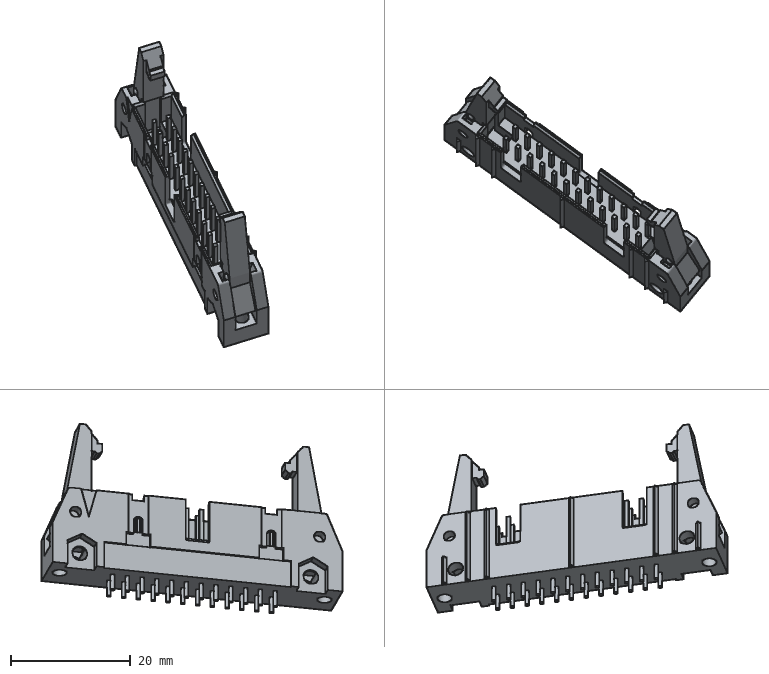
import cadquery as cq
import math

PITCH = 2.54
PIN_COLUMNS = 12

LENGTH = 49.78
DEPTH = 8.0
HEIGHT = 13.95
END_SLOPE_RUN = 2.72
END_EDGE_RADIUS = 0.48
FLOOR_Z = 7.35
END_SLOPE_BASE = FLOOR_Z
CAVITY_LENGTH = 35.48
CAVITY_DEPTH = 6.46
RIM_CHAMFER_RUN = 0.45
RIM_CHAMFER_DROP = 0.32

KEY_BOTTOM_Z = 6.45
FRONT_KEY_WIDTH = 4.05
FRONT_KEY_RADIUS = 0.25
FRONT_KEY_DEPTH = 1.2
BACK_KEY_WIDTH = 4.2
BACK_KEY_RADIUS = 0.45
BACK_KEY_DEPTH = 1.05
BACK_KEY_X = 10.86

CLIP_CENTERS_X = (-4 * PITCH, 5 * PITCH)
CLIP_GROOVE_WIDTH = 3.46
CLIP_GROOVE_DEPTH = 0.15
CLIP_POCKET_WIDTH = 4.2
CLIP_POCKET_TOP = 6.9
CLIP_SLOT_WIDTH = 1.55
CLIP_SLOT_TOP = 9.93
CLIP_NOTCH_WIDTH = 2.05
CLIP_NOTCH_BOTTOM = 12.9

FRONT_RECESS_LENGTH = 32.08
FRONT_RECESS_HEIGHT = 4.65
FRONT_RECESS_DEPTH = 0.35

MARK_LEFT = 4.9
MARK_WIDTH = 2.62
MARK_TIP_Z = 9.0
MARK_DEPTH = 0.25

MOUNT_FROM_END = 5.03
MOUNT_Z = 2.85
MOUNT_DIAMETER = 2.54
NUT_FLATS = 4.97
NUT_DEPTH = 1.65

SLOT_WIDTH = 3.8
SLOT_FLOOR_Z = 3.75
OPENING_WIDTH = 2.9
PIT_FLOOR_END = 9.45
PIT_TOP_END = 10.3
DRAIN_FROM_END = 2.15
DRAIN_DIAMETER = 2.4
RELIEF_START = 4.85
RELIEF_END = 6.4
RELIEF_WIDTH = 4.3
RELIEF_BOTTOM = 11.5

LEVER_WIDTH = 3.62
LEVER_TOP = 26.87
LEVER_INNER = 7.2
TIP_START = 5.2
TIP_END = 6.2
BEVEL_SLOPE = 1.17
ARM_OUTER = 2.95
ARM_TAPER_BOTTOM = 14.25
ARM_STEP_Z = 14.35
ARM_STEP_DROP = 0.15
SHANK_INNER = 6.3
PRESS_TOP = 11.5
PRESS_TIP_X = 0.4
PRESS_TIP_Z = 6.8
FOOT_BOTTOM = 5.0
FOOT_START = 2.5
FOOT_ARC_MIDDLE = (2.3, 5.4)
FOOT_ARC_TOP = (1.9, 5.75)
HOOK_WIDTH = 2.5
HOOK_SHOULDER = 8.35
HOOK_NOSE = 9.2
HOOK_NOSE_TOP = 23.85
HOOK_NOSE_BOTTOM = 22.5
HOOK_ROOT_Z = 22.35
HOOK_BARB_Z = 22.0
HOOK_BARB_START = 8.2
HOOK_BARB_END = 8.6
HOOK_ROOT_END = 7.9
PIVOT_FROM_END = 3.93
PIVOT_Z = 9.6
PIVOT_DIAMETER = 1.9
DETENT_FROM_END = 4.0
DETENT_Z = 13.4
DETENT_RADIUS = 0.77
DETENT_HEIGHT = 0.45
PIVOT_SPAN = 4.6
RAMP_TOP_SPAN = 6.14
RAMP_BOTTOM_SPAN = PIVOT_SPAN
RAMP_START = 3.1
RAMP_END = 4.9
RAMP_BOTTOM_Z = 11.5

PIN_SIZE = 0.64
PIN_TOP = 13.5
TAIL_DIAMETER = 0.67
TAIL_LENGTH = 2.72

RIB_HEIGHT = 0.53
RIB_HALF_WIDTH = 0.42
RIB_BOTTOM = 0.25
RIB_TOP = 13.75
SHORT_RIB_TOP = 5.4
LONG_RIB_OFFSETS = (0, 14.5, 17.8)
SHORT_RIB_OFFSET = 21.85

HALF_LENGTH = LENGTH / 2
FRONT_Y = -DEPTH / 2
BACK_Y = DEPTH / 2
ABOVE = HEIGHT + 1


def block(x_min, x_max, y_min, y_max, z_min, z_max):
    """Axis-aligned box given by its limits."""
    size = (x_max - x_min, y_max - y_min, z_max - z_min)
    return cq.Workplane("XY").box(*size, centered=False).translate((x_min, y_min, z_min))


def extrude_y(points, y_min, y_max):
    """Closed X-Z polygon extruded from y_min to y_max."""
    return cq.Workplane("XZ", origin=(0, y_max, 0)).polyline(points).close().extrude(y_max - y_min)


def cylinder_y(x, z, diameter, y_min, y_max):
    """Cylinder along Y."""
    return cq.Workplane("XZ", origin=(x, y_max, z)).circle(diameter / 2).extrude(y_max - y_min)


def both_ends(shape):
    """The shape with its mirror image at the other end of the part."""
    return shape.union(shape.mirror("YZ"))


def from_left(distance):
    """X at a distance from the left end of the housing."""
    return distance - HALF_LENGTH


def housing_body():
    shoulder = HALF_LENGTH - END_SLOPE_RUN
    outline = [
        (-HALF_LENGTH, 0),
        (HALF_LENGTH, 0),
        (HALF_LENGTH, END_SLOPE_BASE),
        (shoulder, HEIGHT),
        (-shoulder, HEIGHT),
        (-HALF_LENGTH, END_SLOPE_BASE),
    ]
    body = extrude_y(outline, FRONT_Y, BACK_Y)
    return body.faces(">Z").edges("|Y").fillet(END_EDGE_RADIUS)


def cavity():
    well = (
        cq.Workplane("XY", origin=(0, 0, FLOOR_Z))
        .rect(CAVITY_LENGTH, CAVITY_DEPTH)
        .extrude(HEIGHT - FLOOR_Z)
    )
    rim = (
        cq.Workplane("XY", origin=(0, 0, HEIGHT - RIM_CHAMFER_DROP))
        .rect(CAVITY_LENGTH, CAVITY_DEPTH)
        .workplane(offset=RIM_CHAMFER_DROP)
        .rect(CAVITY_LENGTH + 2 * RIM_CHAMFER_RUN, CAVITY_DEPTH + 2 * RIM_CHAMFER_RUN)
        .loft(ruled=True)
    )
    return well.union(rim)


def key_notch(x, width, radius, y_min, y_max):
    """Notch open at the top, with rounded lower corners."""
    notch = block(x - width / 2, x + width / 2, y_min, y_max, KEY_BOTTOM_Z, ABOVE)
    return notch.faces("<Z").edges("|Y").fillet(radius)


def key_notches():
    """One notch at the middle of the front wall and two in the back wall."""
    notches = key_notch(0, FRONT_KEY_WIDTH, FRONT_KEY_RADIUS, FRONT_Y, FRONT_Y + FRONT_KEY_DEPTH)
    back_start = BACK_Y - BACK_KEY_DEPTH
    for x in (-BACK_KEY_X, BACK_KEY_X):
        notches = notches.union(key_notch(x, BACK_KEY_WIDTH, BACK_KEY_RADIUS, back_start, BACK_Y))
    return notches


def clip_seat(x):
    wall_inside = -CAVITY_DEPTH / 2

    def cut(width, depth, z_min, z_max):
        return block(x - width / 2, x + width / 2, FRONT_Y, FRONT_Y + depth, z_min, z_max)

    wall = wall_inside - FRONT_Y
    slot_arc_z = CLIP_SLOT_TOP - CLIP_SLOT_WIDTH / 2
    seat = cut(CLIP_GROOVE_WIDTH, CLIP_GROOVE_DEPTH, CLIP_POCKET_TOP, ABOVE)
    seat = seat.union(cut(CLIP_POCKET_WIDTH, wall, FRONT_RECESS_HEIGHT, CLIP_POCKET_TOP))
    seat = seat.union(cut(CLIP_SLOT_WIDTH, wall, CLIP_POCKET_TOP, slot_arc_z))
    seat = seat.union(cylinder_y(x, slot_arc_z, CLIP_SLOT_WIDTH, FRONT_Y, wall_inside))
    return seat.union(cut(CLIP_NOTCH_WIDTH, wall, CLIP_NOTCH_BOTTOM, ABOVE))


def front_recess():
    half = FRONT_RECESS_LENGTH / 2
    return block(-half, half, FRONT_Y, FRONT_Y + FRONT_RECESS_DEPTH, 0, FRONT_RECESS_HEIGHT)


def pin_one_mark():
    left = from_left(MARK_LEFT)
    triangle = [(left, HEIGHT), (left + MARK_WIDTH, HEIGHT), (left + MARK_WIDTH / 2, MARK_TIP_Z)]
    return extrude_y(triangle, FRONT_Y, FRONT_Y + MARK_DEPTH)


def mounting_hole():
    """Left through hole with its nut pocket, open at the base of the housing."""
    x = from_left(MOUNT_FROM_END)
    half = NUT_FLATS / 2
    corner = half * math.tan(math.pi / 6)
    pocket = [
        (x - half, 0),
        (x + half, 0),
        (x + half, MOUNT_Z + corner),
        (x, MOUNT_Z + 2 * corner),
        (x - half, MOUNT_Z + corner),
    ]
    nut = extrude_y(pocket, FRONT_Y, FRONT_Y + NUT_DEPTH)
    return nut.union(cylinder_y(x, MOUNT_Z, MOUNT_DIAMETER, FRONT_Y, BACK_Y))


def lever_slot():
    """Left lever slot, its opening into the cavity with a pit in the floor, pivot holes and ramps."""
    half_slot = SLOT_WIDTH / 2
    cavity_end = -CAVITY_LENGTH / 2
    slot_end = from_left(RELIEF_END)
    slot = block(-HALF_LENGTH, slot_end, -half_slot, half_slot, SLOT_FLOOR_Z, ABOVE)

    half_opening = OPENING_WIDTH / 2
    opening = block(slot_end, cavity_end, -half_opening, half_opening, SLOT_FLOOR_Z, ABOVE)

    pit_outline = [
        (cavity_end, SLOT_FLOOR_Z),
        (from_left(PIT_FLOOR_END), SLOT_FLOOR_Z),
        (from_left(PIT_TOP_END), FLOOR_Z),
        (cavity_end, FLOOR_Z),
    ]
    pit = extrude_y(pit_outline, -half_opening, half_opening)

    half_relief = RELIEF_WIDTH / 2
    relief = block(
        from_left(RELIEF_START), slot_end, -half_relief, half_relief, RELIEF_BOTTOM, ABOVE
    )

    drain = (
        cq.Workplane("XY", origin=(from_left(DRAIN_FROM_END), 0, 0))
        .circle(DRAIN_DIAMETER / 2)
        .extrude(SLOT_FLOOR_Z)
    )

    pivot_x = from_left(PIVOT_FROM_END)
    pivot_hole = cylinder_y(pivot_x, PIVOT_Z, PIVOT_DIAMETER, FRONT_Y, BACK_Y)
    ramp_outline = [
        (-RAMP_TOP_SPAN / 2, HEIGHT),
        (RAMP_TOP_SPAN / 2, HEIGHT),
        (RAMP_BOTTOM_SPAN / 2, RAMP_BOTTOM_Z),
        (-RAMP_BOTTOM_SPAN / 2, RAMP_BOTTOM_Z),
    ]
    ramp = (
        cq.Workplane("YZ", origin=(from_left(RAMP_START), 0, 0))
        .polyline(ramp_outline)
        .close()
        .extrude(RAMP_END - RAMP_START)
    )
    cut = slot.union(opening).union(pit).union(drain)
    return cut.union(relief).union(pivot_hole).union(ramp)


def lever():
    """Left latching lever, standing upright, with its pivot pin and detent domes."""
    half_width = LEVER_WIDTH / 2

    def bevel_z(x):
        """Height of the sloped face that leads from the tip down the back of the hook."""
        return LEVER_TOP - BEVEL_SLOPE * (x - TIP_END)

    def outline_from(x, z):
        """Start of an X-Z outline, with X counted from the left end of the housing."""
        return cq.Workplane("XZ", origin=(-HALF_LENGTH, 0, 0)).moveTo(x, z)

    arm = (
        outline_from(TIP_START, LEVER_TOP)
        .lineTo(TIP_END, LEVER_TOP)
        .lineTo(LEVER_INNER, bevel_z(LEVER_INNER))
        .lineTo(LEVER_INNER, ARM_STEP_Z)
        .lineTo(SHANK_INNER, ARM_STEP_Z - ARM_STEP_DROP)
        .lineTo(SHANK_INNER, FOOT_BOTTOM)
        .lineTo(FOOT_START, FOOT_BOTTOM)
        .threePointArc(FOOT_ARC_MIDDLE, FOOT_ARC_TOP)
        .lineTo(PRESS_TIP_X, PRESS_TIP_Z)
        .lineTo(ARM_OUTER, PRESS_TOP)
        .lineTo(ARM_OUTER, ARM_TAPER_BOTTOM)
        .close()
        .extrude(half_width, both=True)
    )
    hook = (
        outline_from(LEVER_INNER, bevel_z(LEVER_INNER))
        .lineTo(HOOK_SHOULDER, bevel_z(HOOK_SHOULDER))
        .lineTo(HOOK_SHOULDER, HOOK_NOSE_TOP)
        .lineTo(HOOK_NOSE, HOOK_NOSE_TOP)
        .lineTo(HOOK_NOSE, HOOK_NOSE_BOTTOM)
        .lineTo(HOOK_BARB_END, HOOK_BARB_Z)
        .lineTo(HOOK_BARB_START, HOOK_BARB_Z)
        .lineTo(HOOK_ROOT_END, HOOK_ROOT_Z)
        .lineTo(LEVER_INNER, HOOK_ROOT_Z)
        .close()
        .extrude(HOOK_WIDTH / 2, both=True)
    )
    half_span = PIVOT_SPAN / 2
    pivot = cylinder_y(from_left(PIVOT_FROM_END), PIVOT_Z, PIVOT_DIAMETER, -half_span, half_span)
    body = arm.union(hook).union(pivot)

    center_y = half_width + DETENT_HEIGHT - DETENT_RADIUS
    for side in (-1, 1):
        dome = cq.Workplane("XY").sphere(DETENT_RADIUS)
        body = body.union(dome.translate((from_left(DETENT_FROM_END), side * center_y, DETENT_Z)))
    return body


def pins():
    places = [
        ((column - (PIN_COLUMNS - 1) / 2) * PITCH, row * PITCH / 2)
        for column in range(PIN_COLUMNS)
        for row in (-1, 1)
    ]
    posts = cq.Workplane("XY").pushPoints(places).rect(PIN_SIZE, PIN_SIZE).extrude(PIN_TOP)
    tails = cq.Workplane("XY").pushPoints(places).circle(TAIL_DIAMETER / 2).extrude(-TAIL_LENGTH)
    return posts.union(tails)


def crush_rib(x, top):
    triangle = [(x - RIB_HALF_WIDTH, BACK_Y), (x + RIB_HALF_WIDTH, BACK_Y), (x, BACK_Y + RIB_HEIGHT)]
    return (
        cq.Workplane("XY", origin=(0, 0, RIB_BOTTOM)).polyline(triangle).close().extrude(top - RIB_BOTTOM)
    )


def housing():
    body = housing_body().cut(cavity()).cut(key_notches())
    for x in CLIP_CENTERS_X:
        body = body.cut(clip_seat(x))
    body = body.cut(front_recess()).cut(pin_one_mark())
    body = body.cut(both_ends(mounting_hole())).cut(both_ends(lever_slot()))
    for side in (-1, 1):
        body = body.union(crush_rib(side * SHORT_RIB_OFFSET, SHORT_RIB_TOP))
    for offset in LONG_RIB_OFFSETS:
        for x in {-offset, offset}:
            body = body.union(crush_rib(x, RIB_TOP))
    return body


result = housing().union(both_ends(lever())).union(pins())